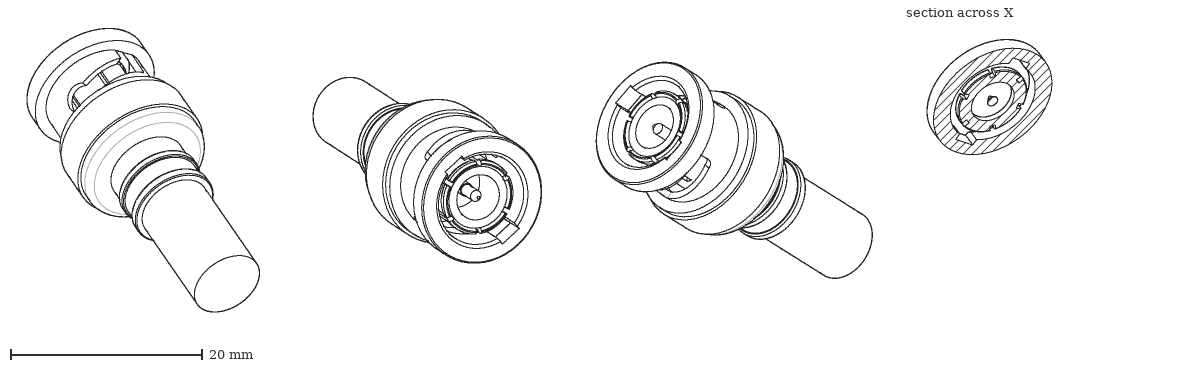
import cadquery as cq
import math


FLANGE_END = 2.2
COLLAR_START = 8.2
GRIP_START = 9.23
GRIP_END = 13.3
COLLAR_END = 15.0
RIB_STARTS_AND_ENDS = ((17.47, 18.45), (20.55, 21.67))
TOTAL_LENGTH = 34.39

COLLAR_RADIUS = 6.9
GRIP_RADIUS = 7.25
SLEEVE_RADIUS = 5.65
NECK_RADIUS = 4.22
RIB_RADIUS = 4.52
TUBE_RADIUS = 3.78
FLANGE_CHAMFER = 0.15
COLLAR_FILLET = 0.75
RIB_FRONT_CHAMFER = 0.2
RIB_REAR_CHAMFER = 0.12

BORE_RADIUS = 4.9
BORE_MOUTH_RADIUS = 5.25
BORE_MOUTH_DEPTH = 0.3
CAVITY_DEPTH = GRIP_START
CONTACT_FRONT = 0.8
CONTACT_RADIUS = 3.83
CONTACT_TIP_RADIUS = 4.0
CONTACT_TIP_LENGTH = 0.8
CONTACT_TIP_CHAMFER = 0.25
CONTACT_BORE_RADIUS = 3.35
CONTACT_MOUTH_CHAMFER = 0.27
CONTACT_SLOT_COUNT = 6
CONTACT_SLOT_WIDTH = 0.54
CONTACT_SLOT_END = 7.2

INSULATOR_FRONT = CONTACT_FRONT + CONTACT_MOUTH_CHAMFER
SOCKET_RADIUS = 2.45
SOCKET_FLOOR = 6.0
PIN_RADIUS = 0.6
PIN_SHOULDER_RADIUS = 0.7
PIN_SHOULDER_START = 4.0
PIN_TIP_RADIUS = 0.15
PIN_FRONT = 0.95
PIN_CONE_LENGTH = 0.7

TRACK_COUNT = 2
ENTRY_ANGLE = 53.0
ENTRY_WIDTH = 2.4
KEYWAY_RADIUS = 5.47
RAMP_PITCH = 9.97
RAMP_WIDTH = 2.43
RAMP_END_ANGLE = 125.0
RAMP_MIDDLE = 5.48
TOP_ANGLE = 90.0
ENTRY_CORNER_RADIUS = 0.7
ENTRY_CORNER_OFFSET = ENTRY_WIDTH / 2 - ENTRY_CORNER_RADIUS
RAMP_START_ANGLE = ENTRY_ANGLE - math.degrees(math.asin(ENTRY_CORNER_OFFSET / SLEEVE_RADIUS))
RAMP_START = RAMP_MIDDLE - RAMP_PITCH * (TOP_ANGLE - RAMP_START_ANGLE) / 360
ENTRY_CORNER_X = RAMP_START + RAMP_WIDTH / 2 - ENTRY_CORNER_RADIUS
DETENT_ANGLE = 131.0
DETENT_X = 6.2
DETENT_RADIUS = 1.6
TRACK_INNER_RADIUS = 4.4
TRACK_OUTER_RADIUS = 6.2


def cylinder(radius, start, end):
    return cq.Workplane("YZ").workplane(offset=start).circle(radius).extrude(end - start)


def make_outside():
    flange = cylinder(COLLAR_RADIUS, 0, FLANGE_END).faces("<X").chamfer(FLANGE_CHAMFER)
    collar = cylinder(COLLAR_RADIUS, COLLAR_START, COLLAR_END).faces(">X").edges().fillet(COLLAR_FILLET)
    neck_end = RIB_STARTS_AND_ENDS[-1][0]
    body = (
        flange
        .union(cylinder(SLEEVE_RADIUS, 0, COLLAR_START))
        .union(collar)
        .union(cylinder(GRIP_RADIUS, GRIP_START, GRIP_END))
        .union(cylinder(NECK_RADIUS, COLLAR_START, neck_end))
        .union(cylinder(TUBE_RADIUS, COLLAR_START, TOTAL_LENGTH))
    )
    for start, end in RIB_STARTS_AND_ENDS:
        rib = cylinder(RIB_RADIUS, start, end)
        rib = rib.faces("<X").chamfer(RIB_FRONT_CHAMFER).faces(">X").chamfer(RIB_REAR_CHAMFER)
        body = body.union(rib)
    return body


def make_cavity():
    profile = [
        (0, 0),
        (0, BORE_MOUTH_RADIUS),
        (BORE_MOUTH_DEPTH, BORE_RADIUS),
        (CAVITY_DEPTH, BORE_RADIUS),
        (CAVITY_DEPTH, 0),
    ]
    return cq.Workplane("XY").polyline(profile).close().revolve(360, (0, 0, 0), (1, 0, 0))


def radial_box(start, end, inner, outer, width):
    """Box along X, reaching from radius inner to outer in the +Y direction."""
    length = end - start
    return cq.Workplane("XY").box(length, outer - inner, width).translate(
        ((start + end) / 2, (inner + outer) / 2, 0)
    )


def radial_cylinder(x, radius):
    """Round cutter pointing along +Y through the sleeve wall."""
    height = TRACK_OUTER_RADIUS - TRACK_INNER_RADIUS
    return (
        cq.Workplane("XZ", origin=(x, TRACK_INNER_RADIUS, 0))
        .circle(radius)
        .extrude(-height)
    )


def turn(shape, angle):
    return shape.rotate((0, 0, 0), (1, 0, 0), angle)


def make_ramp():
    """Helical cutter, swept about Z from the X direction and then laid along X."""
    height = RAMP_PITCH * (RAMP_END_ANGLE - RAMP_START_ANGLE) / 360
    mid_radius = (TRACK_INNER_RADIUS + TRACK_OUTER_RADIUS) / 2
    path = cq.Wire.makeHelix(RAMP_PITCH, height, mid_radius)
    ramp = (
        cq.Workplane("XZ")
        .center(mid_radius, 0)
        .rect(TRACK_OUTER_RADIUS - TRACK_INNER_RADIUS, RAMP_WIDTH)
        .sweep(cq.Workplane(path), isFrenet=True)
    )
    ramp = ramp.rotate((0, 0, 0), (1, 1, 1), 120)
    return turn(ramp, RAMP_START_ANGLE).translate((RAMP_START, 0, 0))


def make_track():
    keyway = radial_box(0, FLANGE_END, TRACK_INNER_RADIUS, KEYWAY_RADIUS, ENTRY_WIDTH)
    channel = radial_box(FLANGE_END, ENTRY_CORNER_X, TRACK_INNER_RADIUS, TRACK_OUTER_RADIUS, ENTRY_WIDTH)
    corner = radial_cylinder(ENTRY_CORNER_X, ENTRY_CORNER_RADIUS).translate((0, 0, -ENTRY_CORNER_OFFSET))
    entry = keyway.union(channel).union(corner)
    detent = radial_cylinder(DETENT_X, DETENT_RADIUS)
    return turn(entry, ENTRY_ANGLE).union(make_ramp()).union(turn(detent, DETENT_ANGLE))


def make_contact():
    tip_end = CONTACT_FRONT + CONTACT_TIP_LENGTH
    ring_profile = [
        (CONTACT_FRONT, CONTACT_BORE_RADIUS + CONTACT_MOUTH_CHAMFER),
        (CONTACT_FRONT, CONTACT_TIP_RADIUS - CONTACT_TIP_CHAMFER),
        (CONTACT_FRONT + CONTACT_TIP_CHAMFER, CONTACT_TIP_RADIUS),
        (tip_end, CONTACT_TIP_RADIUS),
        (tip_end + CONTACT_TIP_RADIUS - CONTACT_RADIUS, CONTACT_RADIUS),
        (CAVITY_DEPTH, CONTACT_RADIUS),
        (CAVITY_DEPTH, CONTACT_BORE_RADIUS),
        (CONTACT_FRONT + CONTACT_MOUTH_CHAMFER, CONTACT_BORE_RADIUS),
    ]
    ring = cq.Workplane("XY").polyline(ring_profile).close().revolve(360, (0, 0, 0), (1, 0, 0))
    slot = radial_box(
        CONTACT_FRONT, CONTACT_SLOT_END, CONTACT_BORE_RADIUS, CONTACT_TIP_RADIUS, CONTACT_SLOT_WIDTH
    )
    for index in range(CONTACT_SLOT_COUNT):
        ring = ring.cut(turn(slot, 90 + index * 360 / CONTACT_SLOT_COUNT))
    return ring


def make_insulator_and_pin():
    insulator = cylinder(CONTACT_BORE_RADIUS, INSULATOR_FRONT, CAVITY_DEPTH)
    socket = cylinder(SOCKET_RADIUS, INSULATOR_FRONT, SOCKET_FLOOR)
    pin_profile = [
        (PIN_FRONT, 0),
        (PIN_FRONT, PIN_TIP_RADIUS),
        (PIN_FRONT + PIN_CONE_LENGTH, PIN_RADIUS),
        (PIN_SHOULDER_START, PIN_RADIUS),
        (PIN_SHOULDER_START, PIN_SHOULDER_RADIUS),
        (SOCKET_FLOOR, PIN_SHOULDER_RADIUS),
        (SOCKET_FLOOR, 0),
    ]
    pin = cq.Workplane("XY").polyline(pin_profile).close().revolve(360, (0, 0, 0), (1, 0, 0))
    return insulator.cut(socket).union(pin)


result = make_outside().cut(make_cavity())
for track_index in range(TRACK_COUNT):
    result = result.cut(turn(make_track(), track_index * 360 / TRACK_COUNT))
result = result.union(make_contact()).union(make_insulator_and_pin())